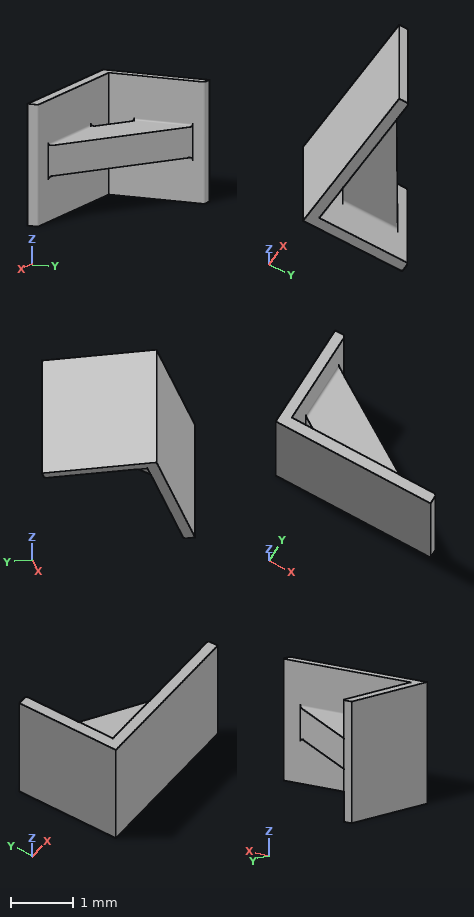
import cadquery as cq

length_x = 2.88
length_y = 1.88
height = 2.0
wall = 0.19
tip_radius = 0.05

web_thickness = 0.5
web_outer_x = 2.5
web_outer_y = 1.673
web_inner_x = 0.875
web_inner_y = 0.636
web_fillet = 0.045


def make_walls():
    """L-shaped walls with the inner edge of each free end rounded."""
    outline = [
        (0, 0),
        (length_x, 0),
        (length_x, wall),
        (wall, wall),
        (wall, length_y),
        (0, length_y),
    ]
    walls = cq.Workplane("XY").polyline(outline).close().extrude(height)
    for tip_x, tip_y in [(length_x, wall), (wall, length_y)]:
        tip_edge = cq.selectors.NearestToPointSelector((tip_x, tip_y, height / 2))
        walls = walls.edges(tip_edge).fillet(tip_radius)
    return walls


def web_prism(thickness):
    """Slanted band between the walls, symmetric about mid-height."""
    outline = [
        (web_inner_x, wall),
        (web_outer_x, wall),
        (wall, web_outer_y),
        (wall, web_inner_y),
    ]
    middle = cq.Workplane("XY").workplane(offset=height / 2)
    return middle.polyline(outline).close().extrude(thickness / 2, both=True)


def make_web():
    """Web with concave fillets, above and below, where it meets the walls."""
    blank = web_prism(web_thickness + 2 * web_fillet)
    web_top = (height + web_thickness) / 2
    clearance = (
        cq.Workplane("XY", origin=(wall, wall, web_top))
        .box(length_x, length_y, height, centered=False)
        .faces("<Z")
        .edges("<X or <Y")
        .fillet(web_fillet)
    )
    return blank.cut(clearance).cut(clearance.mirror("XY", (0, 0, height / 2)))


result = make_walls().union(make_web())